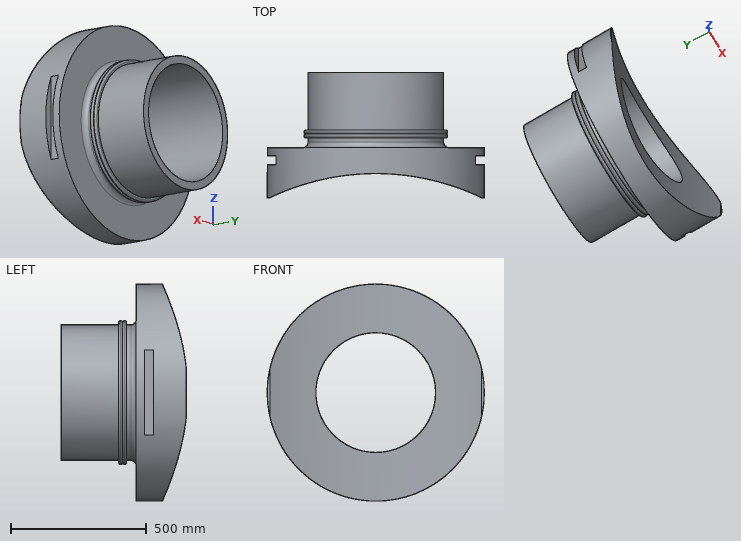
import cadquery as cq
import math

overall_length = 462.0

flange_radius = 400.0
flange_depth = 185.0
saddle_radius = 900.0
crown_thickness = 96.0

pipe_radius = 250.0
bore_radius = 220.0
pipe_length = overall_length - flange_depth
root_fillet = 20.0

ring_count = 2
ring_width = 15.0
ring_height = 15.0
ring_start = 35.0
crest_radius = ring_width / 2

slot_floor = 368.0
slot_width = 33.0
slot_offset = 30.0


def cylinder_along_y(radius, start, end):
    """Solid cylinder on the Y axis between two Y positions."""
    return cq.Workplane("XZ", origin=(0, end, 0)).circle(radius).extrude(end - start)


def make_flange():
    """Round disc hollowed on its front by the saddle cylinder."""
    disc = cylinder_along_y(flange_radius, -flange_depth, 0)
    saddle = (
        cq.Workplane("XY", origin=(0, -crown_thickness - saddle_radius, 0))
        .circle(saddle_radius)
        .extrude(flange_radius, both=True)
    )
    return disc.cut(saddle)


def make_pipe():
    """Spigot revolved about Y, with the concave fillet at its root."""
    corner_offset = root_fillet * (1 - math.sqrt(0.5))
    return (
        cq.Workplane("XY")
        .moveTo(0, -crown_thickness / 2)
        .lineTo(pipe_radius + root_fillet, -crown_thickness / 2)
        .lineTo(pipe_radius + root_fillet, 0)
        .threePointArc((pipe_radius + corner_offset, corner_offset), (pipe_radius, root_fillet))
        .lineTo(pipe_radius, pipe_length)
        .lineTo(0, pipe_length)
        .close()
        .revolve(360, (0, 0, 0), (0, 1, 0))
    )


def make_ring(start):
    """One ring with straight flanks and a crest of two quarter rounds meeting at its top."""
    inner = (pipe_radius + bore_radius) / 2
    crest = pipe_radius + ring_height
    shoulder = crest - crest_radius
    middle = start + crest_radius
    end = start + ring_width
    diagonal = crest_radius * math.sqrt(0.5)
    return (
        cq.Workplane("XY")
        .moveTo(inner, start)
        .lineTo(shoulder, start)
        .threePointArc((shoulder + diagonal, middle - diagonal), (crest, middle))
        .threePointArc((shoulder + diagonal, middle + diagonal), (shoulder, end))
        .lineTo(inner, end)
        .close()
        .revolve(360, (0, 0, 0), (0, 1, 0))
    )


def make_slot(side):
    """Cutter for the flat-floored rim slot on one side (+1 or -1) of X."""
    depth = flange_radius - slot_floor
    middle = (side * (slot_floor + depth / 2), -slot_offset - slot_width / 2, 0)
    return cq.Workplane("XY").box(depth, slot_width, 2 * flange_radius).translate(middle)


result = make_flange().union(make_pipe())
for index in range(ring_count):
    result = result.union(make_ring(ring_start + index * ring_width))
for side in (-1, 1):
    result = result.cut(make_slot(side))
result = result.cut(cylinder_along_y(bore_radius, -flange_depth, pipe_length))